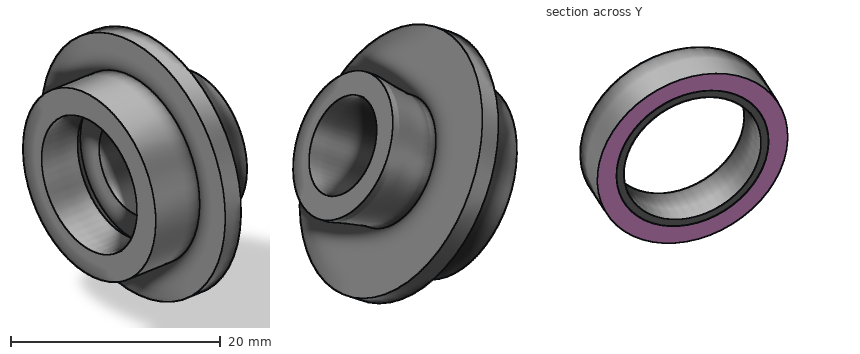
import cadquery as cq

flange_diameter = 27.0
boss_diameter = 19.5
neck_diameter = 13.28
rim_diameter = 14.75
bore_diameter = 10.0
counterbore_diameter = 13.99
relief_diameter = 15.5

total_length = 13.5
boss_length = 5.5
flange_thickness = 2.0
neck_length = 0.8
rim_length = 0.8
counterbore_depth = 5.5
relief_width = 1.0

flange_front = boss_length
flange_back = flange_front + flange_thickness
neck_end = flange_back + neck_length
rim_start = total_length - rim_length
relief_start = counterbore_depth - relief_width


def make_body():
    """Revolve the stepped half section about Y; a relief groove undercuts the counterbore floor."""
    half_section = (
        cq.Workplane("ZY")
        .moveTo(counterbore_diameter / 2, 0)
        .lineTo(boss_diameter / 2, 0)
        .lineTo(boss_diameter / 2, flange_front)
        .lineTo(flange_diameter / 2, flange_front)
        .lineTo(flange_diameter / 2, flange_back)
        .lineTo(neck_diameter / 2, flange_back)
        .lineTo(neck_diameter / 2, neck_end)
        .lineTo(rim_diameter / 2, rim_start)
        .lineTo(rim_diameter / 2, total_length)
        .lineTo(bore_diameter / 2, total_length)
        .lineTo(bore_diameter / 2, counterbore_depth)
        .lineTo(relief_diameter / 2, counterbore_depth)
        .lineTo(relief_diameter / 2, relief_start)
        .lineTo(counterbore_diameter / 2, relief_start)
        .close()
    )
    return half_section.revolve(360, (0, 0, 0), (0, 1, 0))


result = make_body()